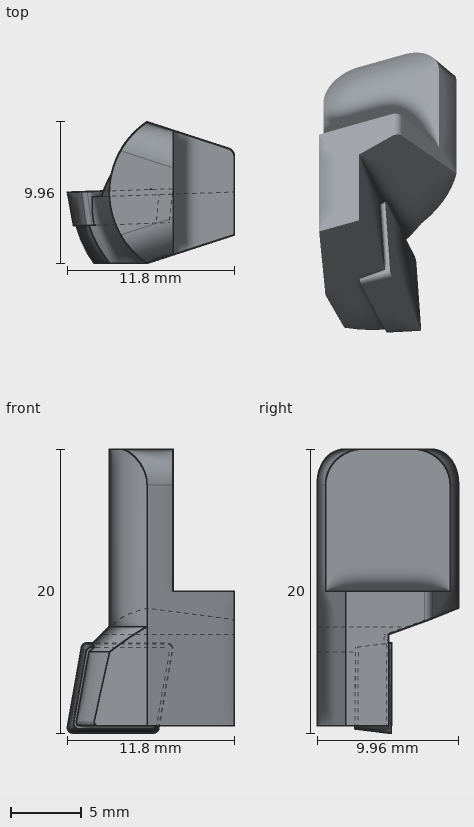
import cadquery as cq
import math

shank_radius = 6.0
half_width = 4.98
wedge_angle = 18.0
holder_height = 19.5
back_x = 2.8
top_edge_radius = 2.5
back_corner_radius = 0.6
step_x = -1.5
step_z = 9.5

flare_top_z = 7.0
flare_depth = 1.78
head_angle = 10.0
head_bottom_radius = 0.25

inscribed_circle = 6.35
nose_angle = 80.0
insert_thickness = 2.38
relief_angle = 7.0
nose_radius = 0.4
nose_x = -8.95
nose_y = 0.03
insert_drop = 0.5
rake_angle = 2.0

flute_floor_depth = 0.35
flute_wall_angle = 20.0
flute_wall_z = 6.57

margin = 10.0


def tan(degrees):
    return math.tan(math.radians(degrees))


def turn_to_rake(shape):
    """Turn a shape about the vertical line through the insert nose."""
    return shape.rotate((nose_x, 0, 0), (nose_x, 0, 1), rake_angle)


def make_turned_blank():
    """Solid of revolution: shank, flare and conical head with a rounded bottom edge."""
    flare_bottom_z = flare_top_z - flare_depth
    flare_radius = shank_radius + flare_depth
    bottom_radius = flare_radius + flare_bottom_z * tan(head_angle)
    blank = (
        cq.Workplane("XZ")
        .polyline([
            (0, 0),
            (bottom_radius, 0),
            (flare_radius, flare_bottom_z),
            (shank_radius, flare_top_z),
            (shank_radius, holder_height),
            (0, holder_height),
        ])
        .close()
        .revolve(360, (0, 0), (0, 1))
    )
    return blank.faces("<Z").edges().fillet(head_bottom_radius)


def make_wedge():
    """Prism between the two flanks, with rounded top edges."""
    shank_corner_x = -math.sqrt(shank_radius**2 - half_width**2)
    front_x = -shank_radius - margin
    back_half_width = half_width - (back_x - shank_corner_x) * tan(wedge_angle)
    front_half_width = half_width + (shank_corner_x - front_x) * tan(wedge_angle)
    wedge = (
        cq.Workplane("XY")
        .polyline([
            (front_x, -front_half_width),
            (back_x, -back_half_width),
            (back_x, back_half_width),
            (front_x, front_half_width),
        ])
        .close()
        .extrude(holder_height)
    )
    mid_x = (front_x + back_x) / 2
    for side in (-1, 1):
        top_edge = cq.selectors.NearestToPointSelector((mid_x, side * half_width, holder_height))
        wedge = wedge.faces(">Z").edges("not |Y").edges(top_edge).fillet(top_edge_radius)
    return wedge


def make_flute():
    """Cutting shape that clears the space in front of the rake face."""
    wall_slope = tan(flute_wall_angle)
    far_y = half_width + margin
    length = back_x - nose_x + 2 * margin
    flute = (
        cq.Workplane("YZ", origin=(nose_x - margin, 0, 0))
        .polyline([
            (-flute_floor_depth, -margin),
            (far_y, -margin),
            (far_y, flute_wall_z + far_y * wall_slope),
            (-flute_floor_depth, flute_wall_z - flute_floor_depth * wall_slope),
        ])
        .close()
        .extrude(length)
    )
    return turn_to_rake(flute)


def make_insert():
    """Rhombus tapering away from the rake face, with rounded corners."""
    side = inscribed_circle / math.sin(math.radians(nose_angle))
    lean = inscribed_circle / tan(nose_angle)
    corner_x = nose_x - nose_radius / tan(nose_angle / 2) + nose_radius
    bottom_z = -insert_drop
    top_z = bottom_z + inscribed_circle
    plate = (
        cq.Workplane("XZ", origin=(0, nose_y, 0))
        .polyline([
            (corner_x, bottom_z),
            (corner_x + side, bottom_z),
            (corner_x + side + lean, top_z),
            (corner_x + lean, top_z),
        ])
        .close()
        .extrude(insert_thickness, taper=relief_angle)
    )
    plate = plate.edges("not #Y").fillet(nose_radius)
    return turn_to_rake(plate)


def make_holder(insert):
    """Holder body with the flat front, back step, chip flute and insert seat."""
    body = make_turned_blank().intersect(make_wedge())
    flat_front = (
        cq.Workplane("XY")
        .box(4 * margin, margin, 2 * holder_height, centered=(True, False, False))
        .translate((0, -half_width - margin, -margin))
    )
    back_step = (
        cq.Workplane("XY")
        .box(margin, 4 * margin, 2 * holder_height, centered=(False, True, False))
        .translate((step_x, 0, step_z))
    )
    body = body.cut(flat_front).cut(back_step)
    body = body.edges("|Z and >X").edges(">Y").fillet(back_corner_radius)
    return body.cut(make_flute()).cut(insert)


insert = make_insert()
holder = make_holder(insert)

result = cq.Compound.makeCompound([*holder.solids().vals(), *insert.solids().vals()])